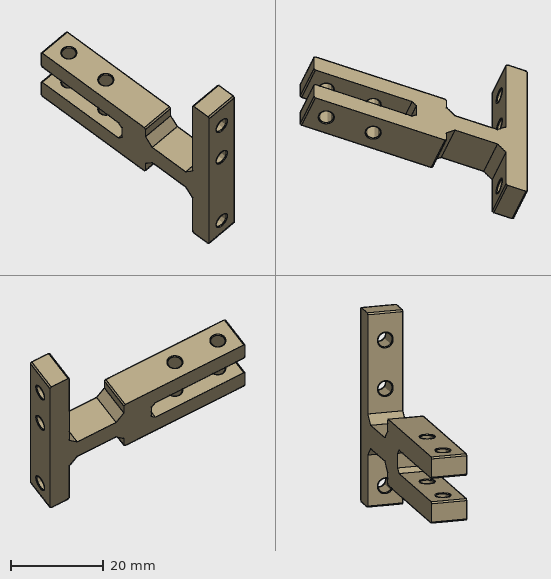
import cadquery as cq

length = 50.0
thickness = 8.0
height = 44.0

axis_height = 16.55
fork_length = 31.05
fork_width = 15.0
slot_depth = 24.0
slot_width = 5.3
slot_corner = 1.0
neck_width = slot_width
neck_corner = 2.0

plate_thickness = 5.0

fork_hole_diameter = 3.1
plate_hole_diameter = 3.2
hole_bevel = 0.2
fork_hole_first = 4.5
fork_hole_count = 2
hole_pitch = 11.0
plate_hole_first = 4.6
plate_hole_steps = (0, 2, 3)

edge_bevel = 0.35

plate_face = length - plate_thickness


def box(x_start, x_end, z_start, z_end):
    """Full-thickness block, centred on Y = 0."""
    return (
        cq.Workplane("XY")
        .box(x_end - x_start, thickness, z_end - z_start, centered=(False, True, False))
        .translate((x_start, 0, z_start))
    )


def centred_box(x_start, x_end, width):
    """Full-thickness block, centred on the fork axis."""
    return box(x_start, x_end, axis_height - width / 2, axis_height + width / 2)


def make_fork():
    """Two prongs with bevelled outer edges and a slot with bevelled inner corners."""
    slot = centred_box(0, slot_depth, slot_width).edges("|Y and >X").chamfer(slot_corner)
    fork = centred_box(0, fork_length, fork_width).cut(slot)
    return fork.edges("|Y and (<X or >X)").chamfer(edge_bevel)


def make_neck():
    """Straight web flaring at 45 degrees into the fork and the plate."""
    half = neck_width / 2
    flared = half + neck_corner
    upper = [
        (fork_length, flared),
        (fork_length + neck_corner, half),
        (plate_face - neck_corner, half),
        (plate_face, flared),
    ]
    lower = [(x, -z) for x, z in reversed(upper)]
    return (
        cq.Workplane("XZ", origin=(0, 0, axis_height))
        .polyline(upper + lower)
        .close()
        .extrude(thickness / 2, both=True)
    )


def make_plate():
    """Upright bar across the end of the neck, with its four thickness edges bevelled."""
    return box(plate_face, length, 0, height).edges("|Y").chamfer(edge_bevel)


def hole_cutter(diameter, depth):
    """Cylinder along +Z from the origin, flared at both ends to bevel the hole rims."""
    radius = diameter / 2
    rim = radius + hole_bevel
    return (
        cq.Workplane("XZ")
        .polyline([
            (0, 0),
            (rim, 0),
            (radius, hole_bevel),
            (radius, depth - hole_bevel),
            (rim, depth),
            (0, depth),
        ])
        .close()
        .revolve(360, (0, 0, 0), (0, 1, 0))
    )


result = make_fork().union(make_neck()).union(make_plate())

prong_width = (fork_width - slot_width) / 2
prong_hole = hole_cutter(fork_hole_diameter, prong_width)
for step in range(fork_hole_count):
    x = fork_hole_first + step * hole_pitch
    for z in (axis_height - fork_width / 2, axis_height + slot_width / 2):
        result = result.cut(prong_hole.translate((x, 0, z)))

plate_hole = hole_cutter(plate_hole_diameter, plate_thickness).rotate((0, 0, 0), (0, 1, 0), 90)
for step in plate_hole_steps:
    z = plate_hole_first + step * hole_pitch
    result = result.cut(plate_hole.translate((plate_face, 0, z)))